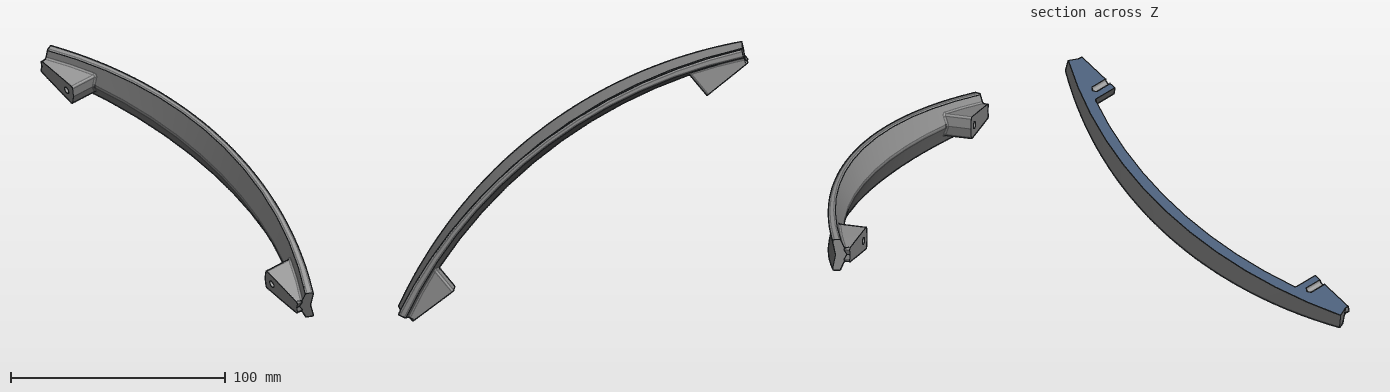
import cadquery as cq
import math

LENGTH = 204.9
MID_HEIGHT = 24.8
END_HEIGHT = 15.2

BOW_AXIS_Y = -206.3
GROOVE_APEX_Y = 29.5
RIDGE_APEX_Y = 24.0
GROOVE_SLOPE = 0.2
RIDGE_SLOPE = 0.42
RIDGE_ROUND = 2.3
EDGE_ROUND = 0.8
END_TIP_Y = 7.5

FOOT_OUTER_X = 100.4
FOOT_OUTER_NOTCH = 0.8
FOOT_INNER_X = 75.5
FOOT_INNER_POINT = 0.8
FOOT_INSET = 4.3
FOOT_BURIAL = 2.0
FOOT_ROUND = 1.0

HOLE_X = 80.0
HOLE_DIAMETER = 3.3
HOLE_DEPTH = 8.2
DRILL_POINT_ANGLE = 118.0

TRIM_ALLOWANCE = 6.1

half_length = LENGTH / 2
overlong_half = half_length + TRIM_ALLOWANCE
groove_radius = GROOVE_APEX_Y - BOW_AXIS_Y
ridge_radius = RIDGE_APEX_Y - BOW_AXIS_Y
section_half = MID_HEIGHT / 2 + TRIM_ALLOWANCE
end_tip_radius = END_TIP_Y - BOW_AXIS_Y
sweep_half_angle = math.degrees(math.atan2(overlong_half + TRIM_ALLOWANCE, end_tip_radius))
below_feet_y = -MID_HEIGHT
beyond_grip_y = 2 * GROOVE_APEX_Y
outline_sag = (MID_HEIGHT - END_HEIGHT) / 2
outline_radius = (half_length**2 + outline_sag**2) / (2 * outline_sag)


def outline_half_height(x, inset=0.0):
    """Half height of the lens-shaped outline, moved inward by inset."""
    radius = outline_radius - inset
    return MID_HEIGHT / 2 - outline_radius + math.sqrt(radius**2 - x**2)


def extrude_along_y(outline, start_y=below_feet_y):
    """Extrude an XZ outline from start_y to well beyond the outer side of the grip."""
    return outline.extrude(start_y - beyond_grip_y).translate((0, start_y, 0))


def revolve_about_bow_axis(section):
    """Revolve a closed (radius, Z) section symmetrically about the YZ plane."""
    swept = section.revolve(2 * sweep_half_angle, (0, 0, 0), (0, 1, 0))
    return swept.rotate((0, 0, 0), (0, 0, 1), 90 - sweep_half_angle).translate((0, BOW_AXIS_Y, 0))


def make_overlong_grip():
    """Chevron bow with a rounded ridge, cut to the lens outline, with rounded long edges."""
    groove_rim = groove_radius + GROOVE_SLOPE * section_half
    ridge_rim = ridge_radius + RIDGE_SLOPE * section_half
    flank_angle = math.atan(RIDGE_SLOPE)
    round_center = ridge_radius + RIDGE_ROUND / math.cos(flank_angle)
    tangent_radius = round_center - RIDGE_ROUND * math.cos(flank_angle)
    tangent_z = RIDGE_ROUND * math.sin(flank_angle)
    bow = revolve_about_bow_axis(
        cq.Workplane("XZ")
        .moveTo(tangent_radius, -tangent_z)
        .threePointArc((round_center - RIDGE_ROUND, 0), (tangent_radius, tangent_z))
        .lineTo(ridge_rim, section_half)
        .lineTo(groove_rim, section_half)
        .lineTo(groove_radius, 0)
        .lineTo(groove_rim, -section_half)
        .lineTo(ridge_rim, -section_half)
        .close()
    )

    lens_end = outline_half_height(overlong_half)
    lens = extrude_along_y(
        cq.Workplane("XZ")
        .moveTo(-overlong_half, lens_end)
        .threePointArc((0, MID_HEIGHT / 2), (overlong_half, lens_end))
        .lineTo(overlong_half, -lens_end)
        .threePointArc((0, -MID_HEIGHT / 2), (-overlong_half, -lens_end))
        .close()
    )
    grip = bow.intersect(lens)
    long_edges = grip.faces(">Z or <Z").edges().filter(lambda edge: edge.Length() > LENGTH / 2)
    return long_edges.fillet(EDGE_ROUND)


def foot_prism(outer_x, notch, start_y):
    """Right foot cross-section, extruded along Y."""
    inner_half = outline_half_height(FOOT_INNER_X, FOOT_INSET)
    outer_half = outline_half_height(outer_x, FOOT_INSET)
    middle_x = (FOOT_INNER_X + outer_x) / 2
    middle_half = outline_half_height(middle_x, FOOT_INSET)
    return extrude_along_y(
        cq.Workplane("XZ")
        .moveTo(FOOT_INNER_X - FOOT_INNER_POINT, 0)
        .lineTo(FOOT_INNER_X, inner_half)
        .threePointArc((middle_x, middle_half), (outer_x, outer_half))
        .lineTo(outer_x - notch, 0)
        .lineTo(outer_x, -outer_half)
        .threePointArc((middle_x, -middle_half), (FOOT_INNER_X, -inner_half))
        .close(),
        start_y,
    )


def make_overlong_foot():
    """Foot that ends inside the grip, between the ridge and groove flanks."""
    buried_radius = ridge_radius + FOOT_BURIAL
    buried_rim = buried_radius + RIDGE_SLOPE * section_half
    below_grip = revolve_about_bow_axis(
        cq.Workplane("XZ")
        .moveTo(0, -section_half)
        .lineTo(buried_rim, -section_half)
        .lineTo(buried_radius, 0)
        .lineTo(buried_rim, section_half)
        .lineTo(0, section_half)
        .close()
    )
    return foot_prism(FOOT_OUTER_X + TRIM_ALLOWANCE, 0, below_feet_y).intersect(below_grip)


def round_foot(body, side):
    """Round the joint with the grip and the two inner corners of the foot on one side of X."""
    foot_box = cq.selectors.BoxSelector(
        (side * (FOOT_INNER_X - TRIM_ALLOWANCE), below_feet_y / 2, -MID_HEIGHT),
        (side * FOOT_OUTER_X, GROOVE_APEX_Y, MID_HEIGHT),
    )
    foot_edges = body.edges(foot_box)
    joint_edges = foot_edges.edges("not |Y")
    corner_edges = foot_edges.edges("|Y").edges(">Z or <Z")
    return joint_edges.add(corner_edges).fillet(FOOT_ROUND)


def make_envelope():
    """Space between the radial end faces, plus the columns of the two feet."""
    end_slope = half_length / end_tip_radius
    base_half = -BOW_AXIS_Y * end_slope
    top_half = (beyond_grip_y - BOW_AXIS_Y) * end_slope
    between_ends = (
        cq.Workplane("XY")
        .polyline([
            (-base_half, 0),
            (base_half, 0),
            (top_half, beyond_grip_y),
            (-top_half, beyond_grip_y),
        ])
        .close()
        .extrude(MID_HEIGHT, both=True)
    )
    foot_column = foot_prism(FOOT_OUTER_X, FOOT_OUTER_NOTCH, 0)
    foot_column = foot_column.edges("|Y").edges(">X").fillet(FOOT_ROUND)
    return between_ends.union(foot_column).union(foot_column.mirror("YZ"))


def make_right_hole():
    """Blind hole with a conical drill point, opening in the mounting face."""
    radius = HOLE_DIAMETER / 2
    tip_depth = HOLE_DEPTH + radius / math.tan(math.radians(DRILL_POINT_ANGLE / 2))
    return (
        cq.Workplane("XY")
        .polyline([(0, 0), (radius, 0), (radius, HOLE_DEPTH), (0, tip_depth)])
        .close()
        .revolve(360, (0, 0, 0), (0, 1, 0))
        .translate((HOLE_X, 0, 0))
    )


right_foot = make_overlong_foot()
body = make_overlong_grip().union(right_foot).union(right_foot.mirror("YZ"))

for side in (-1, 1):
    body = round_foot(body, side)

right_hole = make_right_hole()
handle = body.intersect(make_envelope()).cut(right_hole).cut(right_hole.mirror("YZ"))
result = handle.solids()